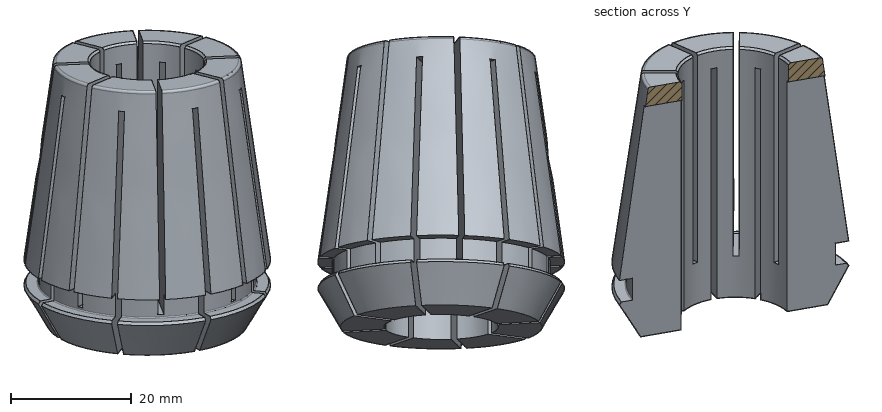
import cadquery as cq
import math

height = 46.0
max_radius = 41.0 / 2
bore_radius = 19.0 / 2

taper_angle = 8.0
taper_base_z = 11.05
top_round = 0.5
bore_chamfer = 0.35

groove_radius = 18.12
groove_base_z = 7.05
groove_root_round = 0.2

nose_angle = 30.0
nose_rim_z = 6.55
nose_bevel = 0.3

slots_per_set = 8
slot_pitch = 360.0 / slots_per_set
slot_width = 1.0
bottom_slot_end_z = 42.45
top_slot_end_z = 7.6

top_radius = max_radius - (height - taper_base_z) * math.tan(math.radians(taper_angle))
nose_tip_radius = max_radius - nose_rim_z * math.tan(math.radians(nose_angle))


def make_body():
    """Turned collet body before it is slit."""
    profile = (
        cq.Workplane("XZ")
        .moveTo(bore_radius, 0)
        .lineTo(nose_tip_radius, 0)
        .lineTo(max_radius, nose_rim_z)
        .lineTo(max_radius - nose_bevel, groove_base_z)
        .lineTo(groove_radius + groove_root_round, groove_base_z)
        .radiusArc((groove_radius, groove_base_z + groove_root_round), groove_root_round)
        .lineTo(groove_radius, taper_base_z)
        .lineTo(max_radius, taper_base_z)
        .lineTo(top_radius, height)
        .lineTo(bore_radius, height)
        .close()
    )
    outermost = cq.selectors.RadiusNthSelector(-1)
    innermost = cq.selectors.RadiusNthSelector(0)
    body = profile.revolve(360, (0, 0), (0, 1))
    body = body.faces(">Z").edges(outermost).fillet(top_round)
    return body.faces(">Z").edges(innermost).chamfer(bore_chamfer)


def make_slots(first_angle, low_z, high_z):
    """One set of radial slots from the axis outwards, between two heights."""
    slots = cq.Workplane("XY")
    for index in range(slots_per_set):
        slot = (
            cq.Workplane("XY")
            .workplane(offset=low_z)
            .center(max_radius / 2, 0)
            .rect(max_radius, slot_width)
            .extrude(high_z - low_z)
            .rotate((0, 0, 0), (0, 0, 1), first_angle + index * slot_pitch)
        )
        slots = slots.union(slot)
    return slots


bottom_slots = make_slots(0, 0, bottom_slot_end_z)
top_slots = make_slots(slot_pitch / 2, top_slot_end_z, height)

result = make_body().cut(bottom_slots).cut(top_slots)